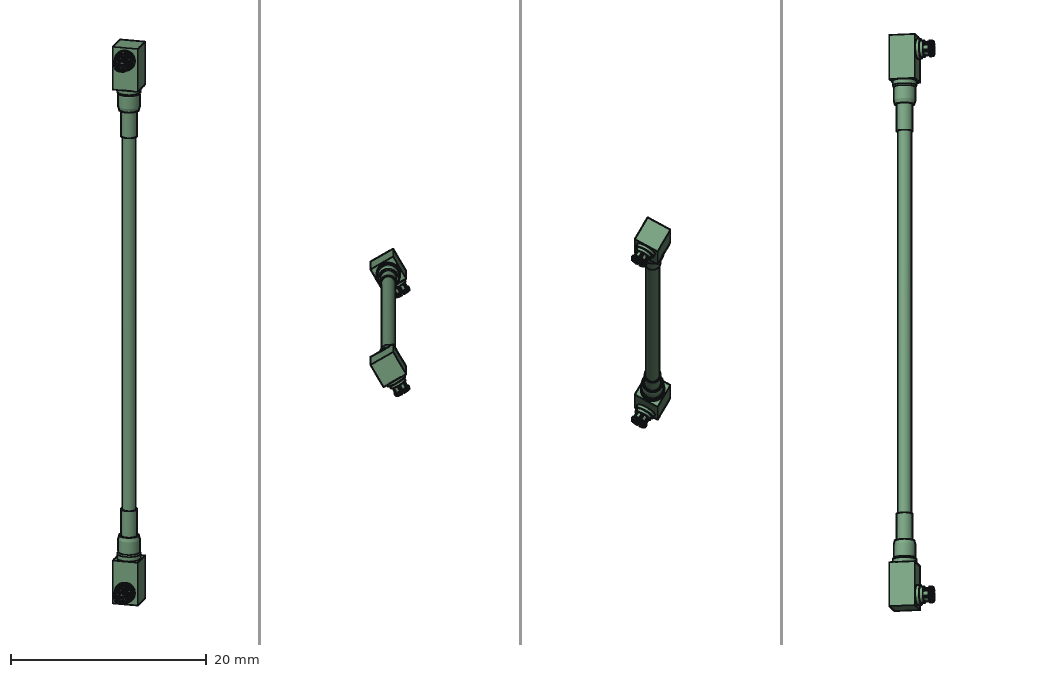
import cadquery as cq

FULL_TURN = 360
HALF_TURN = 180

total_length = 59.6
block_width = 2.7
block_height = 4.6
plug_reach = 1.65
plug_inset = 1.3

neck_ring_radius = 2.45 / 2
neck_ring_height = 0.65
groove_bottom_radius = 2.2 / 2
groove_flank_height = 0.2

collar_radius = 2.25 / 2
collar_height = 1.4
collar_taper_height = 0.4
collar_taper_radius = 2.0 / 2
sleeve_radius = 1.65 / 2
sleeve_height = 2.8
cable_radius = 1.45 / 2

base_flange_radius = 2.1 / 2
base_flange_depth = 0.35
step_flange_radius = 1.7 / 2
step_flange_depth = 0.35
finger_radius = 1.45 / 2
lip_radius = 1.65 / 2
lip_depth = 0.35
lip_bevel_depth = 0.2
lip_face_radius = 1.55 / 2
socket_mouth_radius = 1.15 / 2
socket_mouth_depth = 0.1
socket_radius = 0.3
slot_width = 0.25
slot_count = 6

block_end_z = total_length / 2
block_base_z = block_end_z - block_height
neck_end_z = block_base_z - neck_ring_height
plug_axis_z = block_end_z - plug_inset
plug_face_y = -block_width / 2
step_flange_end = base_flange_depth + step_flange_depth
finger_depth = plug_reach - step_flange_end


def make_plug():
    """Plug of the upper connector: stepped flange and slotted fingers with a lip, pointing to -Y."""
    lip_start = plug_reach - lip_depth
    outline = [
        (0, 0),
        (base_flange_radius, 0),
        (base_flange_radius, base_flange_depth),
        (step_flange_radius, base_flange_depth),
        (step_flange_radius, step_flange_end),
        (finger_radius, step_flange_end),
        (finger_radius, lip_start),
        (lip_radius, lip_start),
        (lip_radius, plug_reach - lip_bevel_depth),
        (lip_face_radius, plug_reach),
        (0, plug_reach),
    ]
    plug = cq.Workplane("XY").polyline(outline).close().revolve(FULL_TURN, (0, 0, 0), (0, 1, 0))
    socket = (
        cq.Workplane("XZ", origin=(0, plug_reach, 0)).circle(socket_radius).extrude(finger_depth)
    )
    socket_mouth = (
        cq.Workplane("XZ", origin=(0, plug_reach, 0)).circle(socket_mouth_radius).extrude(socket_mouth_depth)
    )
    plug = plug.cut(socket).cut(socket_mouth)
    for index in range(slot_count):
        slot = (
            cq.Workplane("XY")
            .box(slot_width, finger_depth, lip_radius, centered=(True, False, False))
            .translate((0, step_flange_end, 0))
            .rotate((0, 0, 0), (0, 1, 0), index * FULL_TURN / slot_count)
        )
        plug = plug.cut(slot)
    return plug.rotate((0, 0, 0), (0, 0, 1), HALF_TURN).translate((0, plug_face_y, plug_axis_z))


def make_connector():
    """Upper connector: square block, neck ring below it and plug on its -Y face."""
    block = (
        cq.Workplane("XY", origin=(0, 0, block_base_z)).rect(block_width, block_width).extrude(block_height)
    )
    neck_ring_outline = [
        (0, block_base_z),
        (neck_ring_radius, block_base_z),
        (neck_ring_radius, neck_end_z + groove_flank_height),
        (groove_bottom_radius, neck_end_z),
        (0, neck_end_z),
    ]
    neck_ring = (
        cq.Workplane("XZ").polyline(neck_ring_outline).close().revolve(FULL_TURN, (0, 0, 0), (0, 1, 0))
    )
    return block.union(neck_ring).union(make_plug())


def make_ferrule():
    """Upper ferrule: tapered collar against the neck ring and a thin sleeve around the cable."""
    collar_end_z = neck_end_z - collar_height
    taper_end_z = collar_end_z - collar_taper_height
    sleeve_end_z = taper_end_z - sleeve_height
    outline = [
        (cable_radius, neck_end_z),
        (groove_bottom_radius, neck_end_z),
        (collar_radius, neck_end_z - groove_flank_height),
        (collar_radius, collar_end_z),
        (collar_taper_radius, taper_end_z),
        (sleeve_radius, taper_end_z),
        (sleeve_radius, sleeve_end_z),
        (cable_radius, sleeve_end_z),
    ]
    return cq.Workplane("XZ").polyline(outline).close().revolve(FULL_TURN, (0, 0, 0), (0, 1, 0))


def make_cable():
    """Straight round cable running through both ferrules from neck ring to neck ring."""
    return cq.Workplane("XY").circle(cable_radius).extrude(neck_end_z, both=True)


cable = make_cable()

connectors = []
ferrules = []
for turn in (0, HALF_TURN):
    connectors.append(make_connector().rotate((0, 0, 0), (0, 1, 0), turn).val())
    ferrules.append(make_ferrule().rotate((0, 0, 0), (0, 1, 0), turn).val())

result = cq.Compound.makeCompound([cable.val(), *connectors, *ferrules])